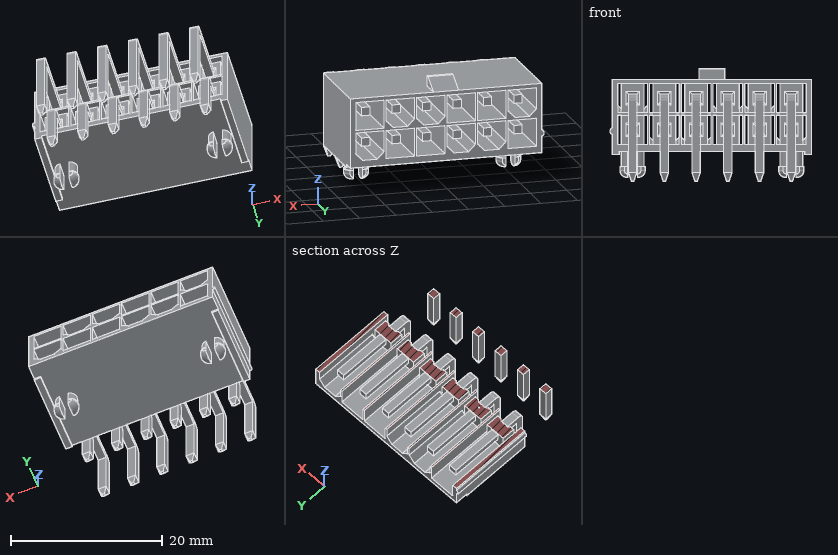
import cadquery as cq


housing_width = 26.38
housing_depth = 12.8
housing_top = 9.95
foot_height = 0.4
foot_width = 0.93
foot_length = 10.87

columns = 6
column_span = 20.99
cell_width = 3.9
cell_height = 3.85
top_wall = 0.55
recess_depth = 0.85
key_chamfer = 0.95
keyed_columns = {"upper": (0, 3, 4), "lower": (1, 2, 5)}

holder_width = 3.05
holder_depth = 2.03
funnel_mouth = 1.8

wire = 1.15
bend_radius = 0.85
tip_length = 1.17
tip_width = 0.35
pin_bottom = -3.52
upper_pin_reach = 7.18
lower_pin_reach = 1.7
pin_setback = 2.0

latch_width = 3.45
latch_length = 3.05
latch_height = 1.42
latch_flat = 0.43

rib_height = 0.88
rib_depth = 0.32
rib_z = 3.1

peg_y = 6.2
peg_radius = 1.01
peg_arc_offset = 0.5
peg_slit = 1.23
barb_radius = 1.17
barb_top = -1.6
barb_bottom = -3.02
barb_rounding = 0.93

pitch = column_span / (columns - 1)
body_height = housing_top - foot_height
column_x = [(i - (columns - 1) / 2) * pitch for i in range(columns)]
upper_z = housing_top - top_wall - cell_height / 2
lower_z = upper_z - pitch
funnel_depth = (funnel_mouth - wire) / 2
holder_end = recess_depth + holder_depth
pin_inner_end = housing_depth - pin_setback


def box(width, depth, height, x, y, z):
    """Box centred on x, starting at y and at z."""
    return cq.Workplane("XY").box(width, depth, height, centered=(True, False, False)).translate((x, y, z))


def make_shell():
    """Plain housing with its two feet, latch ramp and side rib."""
    shell = box(housing_width, housing_depth, body_height, 0, 0, foot_height)
    foot_x = (housing_width - foot_width) / 2
    for x in (-foot_x, foot_x):
        shell = shell.union(box(foot_width, foot_length, foot_height, x, 0, 0))

    latch_front = housing_depth - latch_length
    latch = (
        cq.Workplane("YZ", origin=(-latch_width / 2, 0, housing_top))
        .moveTo(latch_front, 0)
        .lineTo(latch_front, latch_height)
        .lineTo(latch_front + latch_flat, latch_height)
        .lineTo(housing_depth, 0)
        .close()
        .extrude(latch_width)
    )

    side_x = -housing_width / 2
    rib = (
        cq.Workplane("XZ")
        .moveTo(side_x, rib_z - rib_height / 2)
        .threePointArc((side_x - rib_depth, rib_z), (side_x, rib_z + rib_height / 2))
        .close()
        .extrude(-housing_depth)
    )
    return shell.union(latch).union(rib)


def make_cell(x, z, keyed):
    """Space removed for one cell: rear recess, slots beside the holder, and mating cavity."""
    bottom = z - cell_height / 2
    rear = box(cell_width, holder_end, cell_height, x, 0, bottom)
    holder = box(holder_width, holder_depth, cell_height, x, recess_depth, bottom)
    funnel = (
        cq.Workplane("XZ", origin=(x, recess_depth, z))
        .rect(funnel_mouth, funnel_mouth)
        .workplane(offset=-funnel_depth)
        .rect(wire, wire)
        .loft()
    )
    cavity = box(cell_width, housing_depth - holder_end, cell_height, x, holder_end, bottom)
    if keyed:
        cavity = cavity.edges("|Y and <Z").chamfer(key_chamfer)
    return rear.cut(holder.cut(funnel)).union(cavity)


def make_pin(x, z, reach):
    """Bent square pin with its horizontal arm centred on z and a tapered lower tip."""
    arm_top = z + wire / 2
    tip_start = pin_bottom + tip_length
    shank = (
        cq.Workplane("YZ", origin=(x - wire / 2, 0, 0))
        .moveTo(pin_inner_end, arm_top)
        .lineTo(bend_radius - reach, arm_top)
        .radiusArc((-reach, arm_top - bend_radius), -bend_radius)
        .lineTo(-reach, tip_start)
        .lineTo(wire - reach, tip_start)
        .lineTo(wire - reach, arm_top - wire)
        .lineTo(pin_inner_end, arm_top - wire)
        .close()
        .extrude(wire)
    )
    tip = (
        cq.Workplane("XY", origin=(x, wire / 2 - reach, tip_start))
        .rect(wire, wire)
        .workplane(offset=-tip_length)
        .rect(tip_width, tip_width)
        .loft()
    )
    return shank.union(tip)


def make_peg(x):
    """Peg of two legs with barbed, rounded ends, trimmed flat to the leg thickness in Y."""
    height = foot_height - barb_bottom
    leg_height = foot_height - barb_top
    barb_height = barb_top - barb_bottom
    peg = box(2 * peg_arc_offset, 2 * peg_radius, height, 0, -peg_radius, barb_bottom)
    for arc_x in (-peg_arc_offset, peg_arc_offset):
        leg = cq.Workplane("XY", origin=(arc_x, 0, barb_top)).circle(peg_radius).extrude(leg_height)
        barb = cq.Workplane("XY", origin=(arc_x, 0, barb_bottom)).circle(barb_radius).extrude(barb_height)
        peg = peg.union(leg).union(barb.faces("<Z").edges().fillet(barb_rounding))
    trim_width = 2 * (peg_arc_offset + barb_radius)
    peg = peg.intersect(box(trim_width, 2 * peg_radius, height, 0, -peg_radius, barb_bottom))
    peg = peg.cut(box(peg_slit, 2 * peg_radius, height, 0, -peg_radius, barb_bottom))
    return peg.translate((x, peg_y, 0))


result = make_shell()
for row, row_z in (("upper", upper_z), ("lower", lower_z)):
    for column, x in enumerate(column_x):
        result = result.cut(make_cell(x, row_z, column in keyed_columns[row]))
for row_z, reach in ((upper_z, upper_pin_reach), (lower_z, lower_pin_reach)):
    for x in column_x:
        result = result.union(make_pin(x, row_z, reach))
for x in (column_x[0], column_x[-1]):
    result = result.union(make_peg(x))